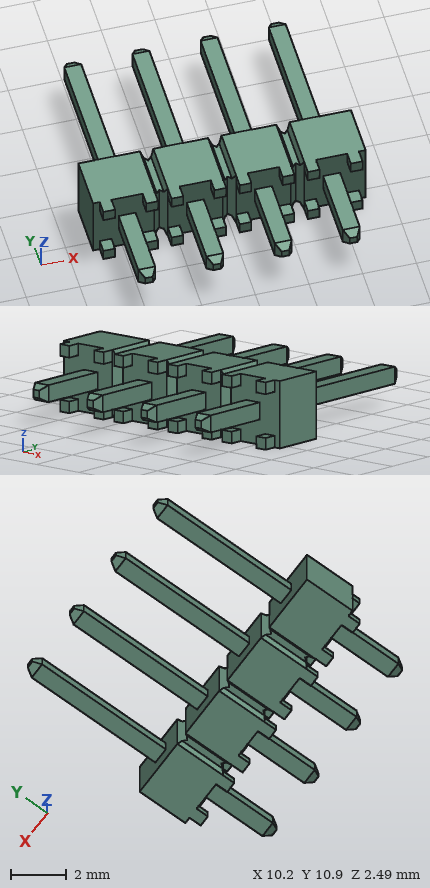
import cadquery as cq
POSITIONS = 4
HOUSING_LENGTH = 10.16
PITCH = HOUSING_LENGTH / POSITIONS

HOUSING_DEPTH = 2.04
HOUSING_HEIGHT = 2.49
HALF_HEIGHT = HOUSING_HEIGHT / 2

GROOVE_WIDTH = 0.5
GROOVE_DEPTH = 0.26
GROOVE_FLOOR_WIDTH = 0.26

FOOT_WIDTH = 0.44
FOOT_HEIGHT = 0.44
FOOT_LENGTH = 0.5
FOOT_X = (PITCH - GROOVE_WIDTH - FOOT_WIDTH) / 2
FOOT_Z = (HOUSING_HEIGHT - FOOT_HEIGHT) / 2

PIN_SIDE = 0.63
PIN_LENGTH = 10.92
PIN_FRONT_Y = -3.05
PIN_BACK_Y = PIN_FRONT_Y + PIN_LENGTH
TIP_SIDE = 0.28
TIP_LENGTH = 0.31

position_centers = [(i - (POSITIONS - 1) / 2) * PITCH for i in range(POSITIONS)]
groove_centers = [x + PITCH / 2 for x in position_centers[:-1]]


def make_front_or_back_groove(x, face_y, inward):
    """V-shaped cutter over the full height; inward is the Y direction into the housing."""
    return (
        cq.Workplane("XY", origin=(x, face_y, -HALF_HEIGHT))
        .moveTo(-GROOVE_WIDTH / 2, 0)
        .lineTo(0, inward * GROOVE_DEPTH)
        .lineTo(GROOVE_WIDTH / 2, 0)
        .close()
        .extrude(HOUSING_HEIGHT)
    )


def make_top_or_bottom_groove(x, side):
    """Flat-floored cutter over the full depth; side is 1 for the top and -1 for the bottom."""
    face_z = side * HALF_HEIGHT
    floor_z = side * (HALF_HEIGHT - GROOVE_DEPTH)
    return (
        cq.Workplane("XZ", origin=(x, 0, 0))
        .moveTo(-GROOVE_WIDTH / 2, face_z)
        .lineTo(-GROOVE_FLOOR_WIDTH / 2, floor_z)
        .lineTo(GROOVE_FLOOR_WIDTH / 2, floor_z)
        .lineTo(GROOVE_WIDTH / 2, face_z)
        .close()
        .extrude(-HOUSING_DEPTH)
    )


def make_grooved_block():
    """Housing block with a break groove between every two positions."""
    block = cq.Workplane("XY").box(HOUSING_LENGTH, HOUSING_DEPTH, HOUSING_HEIGHT)
    block = block.translate((0, HOUSING_DEPTH / 2, 0))
    for x in groove_centers:
        block = block.cut(make_front_or_back_groove(x, 0, 1))
        block = block.cut(make_front_or_back_groove(x, HOUSING_DEPTH, -1))
        for side in (1, -1):
            block = block.cut(make_top_or_bottom_groove(x, side))
    return block


def make_feet(x):
    """Four standoff feet of the position centred at x."""
    return (
        cq.Workplane("XZ", origin=(x, 0, 0))
        .rect(2 * FOOT_X, 2 * FOOT_Z, forConstruction=True)
        .vertices()
        .rect(FOOT_WIDTH, FOOT_HEIGHT)
        .extrude(FOOT_LENGTH)
    )


def make_tip(x, end_y, inward):
    """Pyramid-shaped pin tip that widens from end_y in the inward Y direction."""
    return (
        cq.Workplane("XZ", origin=(x, end_y, 0))
        .rect(TIP_SIDE, TIP_SIDE)
        .workplane(offset=-inward * TIP_LENGTH)
        .rect(PIN_SIDE, PIN_SIDE)
        .loft(ruled=True)
    )


def make_pin(x):
    """Square pin along Y with a tapered tip at each end."""
    shank = cq.Workplane("XY").box(PIN_SIDE, PIN_LENGTH - 2 * TIP_LENGTH, PIN_SIDE)
    shank = shank.translate((x, (PIN_FRONT_Y + PIN_BACK_Y) / 2, 0))
    return shank.union(make_tip(x, PIN_FRONT_Y, 1)).union(make_tip(x, PIN_BACK_Y, -1))


def make_pin_header():
    """One solid: the grooved block with the feet and pins of every position."""
    header = make_grooved_block()
    for x in position_centers:
        header = header.union(make_feet(x)).union(make_pin(x))
    return header


pin_header = make_pin_header()

result = cq.Compound.makeCompound([pin_header.val()])